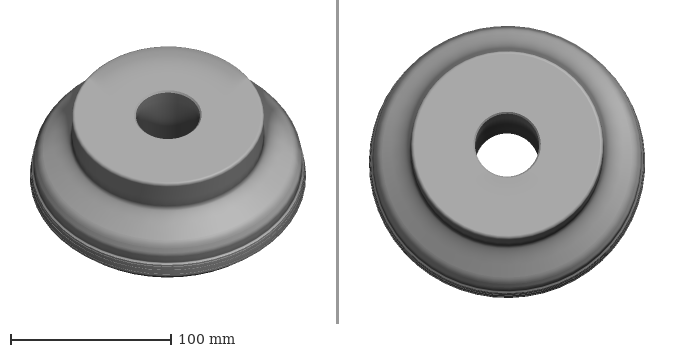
import cadquery as cq
import math

overall_height = 63.0
max_radius = 86.3

boss_radius = 60.0
boss_edge_round = 2.0
shoulder_top = 41.5
shoulder_angle = 30.0
neck_round = 3.0
wall_radius = 83.9
transition_angle = 60.0
transition_foot = 23.8
shoulder_round = 9.7
wall_round = 5.0

ledge_foot = 16.9
ledge_rim = 16.2
ledge_radius = 85.0
ledge_round = 0.5

joint_height = 15.0

joint_chamfer = 0.3
land_top = 7.8
land_bottom = 7.2
bottom_radius = 80.4

groove_depth = 0.2
groove_spans = [(8.8, 9.8), (12.0, 13.5)]

bore_radius = 20.0
bore_chamfer = 1.0

taper = (max_radius - ledge_radius) / (ledge_rim - land_top)


def taper_radius(height):
    """Radius of the tapered outside at a given height."""
    return max_radius - taper * (height - land_top)


def revolve_outline(corners):
    """Turn a closed outline of (radius, height, corner round) about the Z axis; the first corner is sharp."""
    corner_points = []
    count = len(corners)
    for i, (r, z, rounding) in enumerate(corners):
        corner = cq.Vector(r, z, 0)
        if rounding == 0:
            corner_points.append((corner, None, corner))
            continue
        to_before = (cq.Vector(*corners[i - 1][:2], 0) - corner).normalized()
        to_after = (cq.Vector(*corners[(i + 1) % count][:2], 0) - corner).normalized()
        half_angle = to_before.getAngle(to_after) / 2
        tangent_length = rounding / math.tan(half_angle)
        bisector = (to_before + to_after).normalized()
        arc_depth = rounding / math.sin(half_angle) - rounding
        corner_points.append((
            corner + to_before * tangent_length,
            corner + bisector * arc_depth,
            corner + to_after * tangent_length,
        ))

    outline = cq.Workplane("XZ").moveTo(corner_points[0][2].x, corner_points[0][2].y)
    for start, middle, end in corner_points[1:]:
        outline = outline.lineTo(start.x, start.y)
        if middle is not None:
            outline = outline.threePointArc((middle.x, middle.y), (end.x, end.y))
    return outline.close().revolve(360, (0, 0, 0), (0, 1, 0))


def make_hub():
    shoulder_slope = math.tan(math.radians(shoulder_angle))
    transition_slope = math.tan(math.radians(transition_angle))
    break_radius = (
        transition_foot + transition_slope * wall_radius - shoulder_top - shoulder_slope * boss_radius
    ) / (transition_slope - shoulder_slope)
    break_height = shoulder_top - shoulder_slope * (break_radius - boss_radius)

    return revolve_outline([
        (bore_radius, joint_height, 0),
        (bore_radius, overall_height - bore_chamfer, 0),
        (bore_radius + bore_chamfer, overall_height, 0),
        (boss_radius, overall_height, boss_edge_round),
        (boss_radius, shoulder_top, neck_round),
        (break_radius, break_height, shoulder_round),
        (wall_radius, transition_foot, wall_round),
        (wall_radius, ledge_foot, ledge_round),
        (ledge_radius, ledge_rim, 0),
        (taper_radius(joint_height), joint_height, 0),
    ])


def cut_groove(ring, bottom, top):
    """Cut a shallow groove whose floor is parallel to the tapered outside."""
    clear_radius = max_radius + groove_depth
    cutter = revolve_outline([
        (taper_radius(bottom) - groove_depth, bottom, 0),
        (taper_radius(top) - groove_depth, top, 0),
        (clear_radius, top, 0),
        (clear_radius, bottom, 0),
    ])
    return ring.cut(cutter)


def make_lip_ring():
    chamfer_foot = joint_height - joint_chamfer
    ring = revolve_outline([
        (bore_radius, 0, 0),
        (bore_radius, joint_height, 0),
        (taper_radius(joint_height) - joint_chamfer, joint_height, 0),
        (taper_radius(chamfer_foot), chamfer_foot, 0),
        (max_radius, land_top, 0),
        (max_radius, land_bottom, 0),
        (bottom_radius, 0, 0),
    ])
    for bottom, top in groove_spans:
        ring = cut_groove(ring, bottom, top)
    return ring


hub = make_hub()
lip_ring = make_lip_ring()

result = cq.Compound.makeCompound([hub.val(), lip_ring.val()])